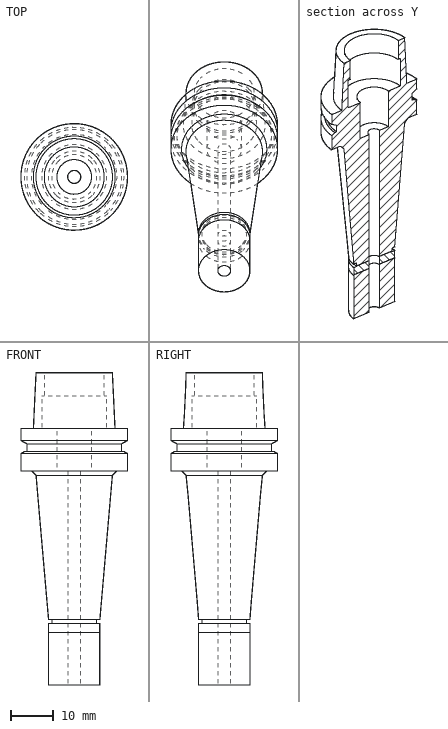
import cadquery as cq
import math

TOTAL_HEIGHT = 73.0
NUT_TOP = 12.3
COLLAR_TOP = 14.45
NECK_TOP = 15.3
CONE_TOP = 49.0
FLANGE_BOTTOM = 50.0
GROOVE_BOTTOM = 54.1
GROOVE_TOP = 57.15
FLANGE_TOP = 60.0

NUT_DIAMETER = 12.05
NECK_DIAMETER = 10.45
CONE_TOP_DIAMETER = 17.9
FLANGE_DIAMETER = 25.0
GROOVE_DIAMETER = 22.2
SHANK_BASE_DIAMETER = 19.1
SHANK_TOP_DIAMETER = 17.9
LEDGE_DIAMETER = 23.2
GROOVE_WALL_ANGLE = 30.0

THROUGH_DIAMETER = 3.0
COUNTERBORE_DIAMETER = 8.1
MOUTH_DIAMETER = 14.0
MOUTH_DEPTH = 5.4
RECESS_DIAMETER = 15.2


def bore(diameter, bottom, top):
    """Solid cylinder on the axis, used to cut a bore between two heights."""
    return cq.Workplane("XY").workplane(offset=bottom).circle(diameter / 2).extrude(top - bottom)


def tube(diameter, bottom, top):
    """Round body pierced by the through hole."""
    return (
        cq.Workplane("XY")
        .workplane(offset=bottom)
        .circle(diameter / 2)
        .circle(THROUGH_DIAMETER / 2)
        .extrude(top - bottom)
    )


def holder_blank():
    """Neck, long cone, grooved flange and tapered shank as one turned shape."""
    flange_radius = FLANGE_DIAMETER / 2
    groove_radius = GROOVE_DIAMETER / 2
    cone_top_radius = CONE_TOP_DIAMETER / 2
    ledge_radius = LEDGE_DIAMETER / 2
    wall_slope = math.tan(math.radians(GROOVE_WALL_ANGLE))
    groove_wall_rise = (flange_radius - groove_radius) * wall_slope
    ledge_height = GROOVE_BOTTOM + (flange_radius - ledge_radius) * wall_slope
    chamfer_radius = cone_top_radius + (FLANGE_BOTTOM - CONE_TOP)
    profile = [
        (0, COLLAR_TOP),
        (NECK_DIAMETER / 2, COLLAR_TOP),
        (NECK_DIAMETER / 2, NECK_TOP),
        (NUT_DIAMETER / 2, NECK_TOP),
        (cone_top_radius, CONE_TOP),
        (chamfer_radius, FLANGE_BOTTOM),
        (flange_radius, FLANGE_BOTTOM),
        (flange_radius, GROOVE_BOTTOM),
        (ledge_radius, ledge_height),
        (groove_radius, ledge_height),
        (groove_radius, GROOVE_TOP - groove_wall_rise),
        (flange_radius, GROOVE_TOP),
        (flange_radius, FLANGE_TOP),
        (SHANK_BASE_DIAMETER / 2, FLANGE_TOP),
        (SHANK_TOP_DIAMETER / 2, TOTAL_HEIGHT),
        (0, TOTAL_HEIGHT),
    ]
    return cq.Workplane("XZ").polyline(profile).close().revolve(360, (0, 0, 0), (0, 1, 0))


def make_holder():
    """Holder with its stepped bore: mouth, undercut recess, counterbore, through hole."""
    mouth_bottom = TOTAL_HEIGHT - MOUTH_DEPTH
    return (
        holder_blank()
        .cut(bore(MOUTH_DIAMETER, mouth_bottom, TOTAL_HEIGHT))
        .cut(bore(RECESS_DIAMETER, FLANGE_TOP, mouth_bottom))
        .cut(bore(COUNTERBORE_DIAMETER, FLANGE_BOTTOM, FLANGE_TOP))
        .cut(bore(THROUGH_DIAMETER, COLLAR_TOP, FLANGE_BOTTOM))
    )


def make_collar():
    """Short ring between the neck of the holder and the nut."""
    return tube(NUT_DIAMETER, NUT_TOP, COLLAR_TOP)


def make_nut():
    """Plain cylindrical nut at the free end."""
    return tube(NUT_DIAMETER, 0, NUT_TOP)


holder = make_holder()
collar = make_collar()
nut = make_nut()

result = cq.Compound.makeCompound([*holder.solids().vals(), collar.val(), nut.val()])